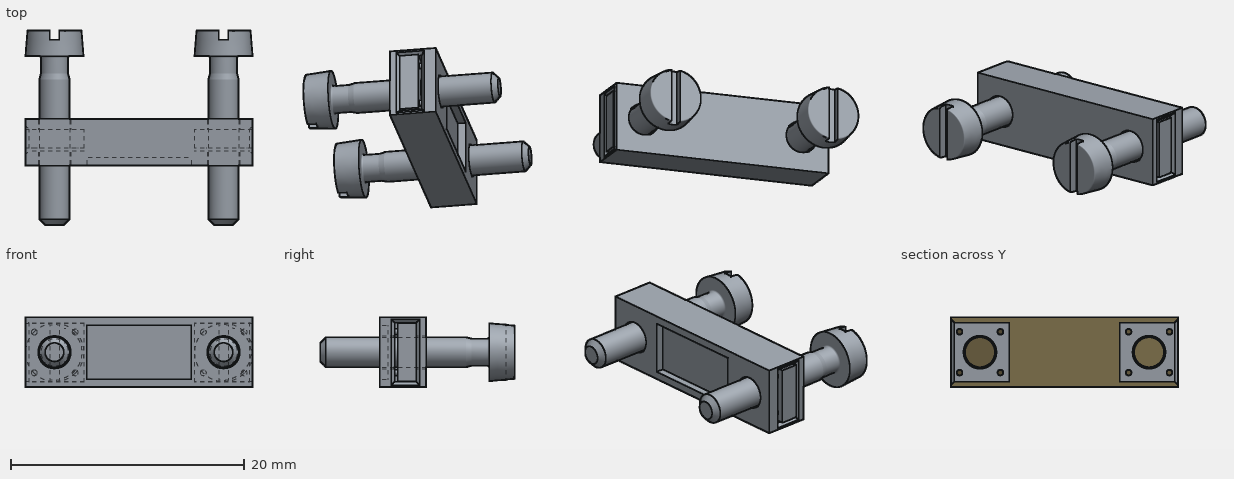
import cadquery as cq

housing_length = 19.5
housing_depth = 4.0
housing_height = 6.0
screw_spacing = 14.5
clearance_hole_diameter = 2.8

pocket_length = 9.0
pocket_height = 4.6
pocket_depth = 0.7

nut_width = 5.0
nut_thickness = 1.6
foot_diameter = 0.5
foot_height = 0.25
foot_spacing = 3.5

slot_side_clearance = 0.025
slot_back_wall = 0.865
slot_mouth_chamfer = 0.3

screw_length = 16.7
screw_tip_overhang = 5.1
head_height = 2.2
head_base_diameter = 5.0
head_top_diameter = 4.65
head_edge_radius = 0.1
drive_slot_width = 0.8
drive_slot_depth = 0.8
neck_diameter = 2.35
neck_fillet = 0.15
neck_length = 1.5
neck_cone_length = 0.5
shaft_diameter = 2.6
tip_diameter = 1.6
tip_length = 0.5

front_y = -housing_depth / 2
back_y = housing_depth / 2
end_x = housing_length / 2
nut_back_y = back_y - slot_back_wall
nut_front_y = nut_back_y - nut_thickness
slot_depth_y = nut_thickness + foot_height
slot_height = nut_width + 2 * slot_side_clearance
slot_center_y = nut_back_y - slot_depth_y / 2
screw_x = screw_spacing / 2
slot_length = end_x - screw_x + nut_width / 2
tip_y = front_y - screw_tip_overhang
head_top_y = tip_y + screw_length
head_base_y = head_top_y - head_height
sides = (-1, 1)


def y_cylinder(diameter, x, z, y_start, y_end):
    """Cylinder along Y between two Y positions."""
    circle = cq.Workplane("XZ", origin=(x, y_start, z)).circle(diameter / 2)
    return circle.extrude(y_start - y_end)


def make_nut_slot(side):
    """Cutter for the nut slot and its chamfered mouth in one end of the housing."""
    slot = (
        cq.Workplane("YZ", origin=(side * end_x, slot_center_y, 0))
        .rect(slot_depth_y, slot_height)
        .extrude(-side * slot_length)
    )
    mouth = (
        cq.Workplane("YZ", origin=(side * end_x, slot_center_y, 0))
        .rect(slot_depth_y + 2 * slot_mouth_chamfer, slot_height + 2 * slot_mouth_chamfer)
        .workplane(offset=-side * slot_mouth_chamfer)
        .rect(slot_depth_y, slot_height)
        .loft(ruled=True)
    )
    return slot.union(mouth)


def make_housing():
    housing = cq.Workplane("XY").box(housing_length, housing_depth, housing_height)
    pocket = cq.Workplane("XY").box(pocket_length, pocket_depth, pocket_height)
    housing = housing.cut(pocket.translate((0, front_y + pocket_depth / 2, 0)))
    for side in sides:
        housing = housing.cut(make_nut_slot(side))
        housing = housing.cut(y_cylinder(clearance_hole_diameter, side * screw_x, 0, front_y, back_y))
    return housing


def make_nut(x):
    """Square nut around the screw axis at x, with a foot near each corner."""
    nut = cq.Workplane("XY").box(nut_width, nut_thickness, nut_width)
    nut = nut.translate((x, nut_back_y - nut_thickness / 2, 0))
    nut = nut.cut(y_cylinder(shaft_diameter, x, 0, nut_front_y, nut_back_y))
    for foot_x in sides:
        for foot_z in sides:
            foot = y_cylinder(
                foot_diameter,
                x + foot_x * foot_spacing / 2,
                foot_z * foot_spacing / 2,
                nut_front_y - foot_height,
                nut_front_y,
            )
            nut = nut.union(foot)
    return nut


def make_screw(x):
    """Slotted screw on the axis at x: a revolved profile with a drive slot along Z."""
    neck_end_y = head_base_y - neck_length
    screw = (
        cq.Workplane("XY")
        .moveTo(0, tip_y)
        .lineTo(tip_diameter / 2, tip_y)
        .lineTo(shaft_diameter / 2, tip_y + tip_length)
        .lineTo(shaft_diameter / 2, neck_end_y - neck_cone_length)
        .lineTo(neck_diameter / 2, neck_end_y)
        .lineTo(neck_diameter / 2, head_base_y - neck_fillet)
        .radiusArc((neck_diameter / 2 + neck_fillet, head_base_y), neck_fillet)
        .lineTo(head_base_diameter / 2, head_base_y)
        .lineTo(head_top_diameter / 2, head_top_y)
        .lineTo(0, head_top_y)
        .close()
        .revolve(360, (0, 0, 0), (0, 1, 0))
        .faces(">Y")
        .edges()
        .fillet(head_edge_radius)
    )
    drive_slot = cq.Workplane("XY").box(drive_slot_width, drive_slot_depth, head_base_diameter)
    screw = screw.cut(drive_slot.translate((0, head_top_y - drive_slot_depth / 2, 0)))
    return screw.translate((x, 0, 0))


housing = make_housing()
nuts = [make_nut(side * screw_x) for side in sides]
screws = [make_screw(side * screw_x) for side in sides]

result = cq.Compound.makeCompound(
    [housing.val()] + [nut.val() for nut in nuts] + [screw.val() for screw in screws]
)